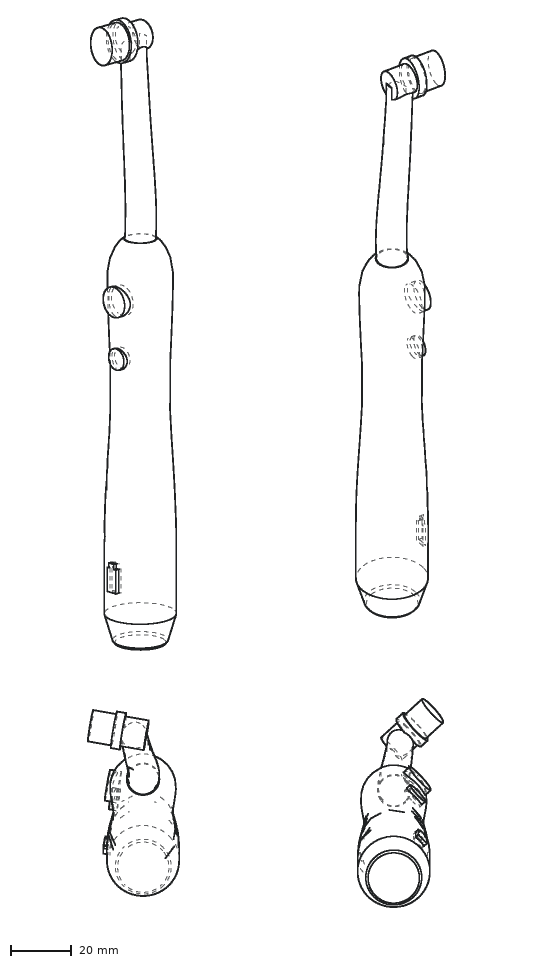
import cadquery as cq


BASE_TOP_Z = 10.0
HANDLE_TOP_Z = 139.9
BODY_RADIUS = 12.0
DOME_TOP_RADIUS = 5.5
HANDLE_WALL = [
    (BODY_RADIUS, 32.6),
    (10.98, 61.0),
    (9.8, 90.3),
    (10.55, 111.0),
    (10.9, 124.0),
    (10.0, 133.1),
    (DOME_TOP_RADIUS, HANDLE_TOP_Z),
]
DOME_TOP_TANGENT = (-1, 0.5)
BASE_FLOOR_RADIUS = 8.5
BASE_LOWER_RADIUS = 9.25
BASE_ROUND_HEIGHT = 0.9

NECK_STATIONS = [
    (HANDLE_TOP_Z, 0.0, 10.33),
    (156.5, 0.0, 10.11),
    (174.0, -1.2, 9.5),
    (189.2, -2.2, 9.1),
    (203.1, -2.94, 8.7),
]

HEAD_Z = 210.3
HEAD_RADIUS = 5.0
HEAD_BACK_Y = 1.0
FLANGE_BACK_Y = -6.7
FLANGE_FRONT_Y = -9.8
BRISTLE_FRONT_Y = -17.6
FLANGE_WIDTH = 12.2
FLANGE_HEIGHT = 14.8
FLANGE_Z = 217.5 - FLANGE_HEIGHT / 2
BRISTLE_RIM = 0.9

LARGE_BUTTON_Z = 120.3
LARGE_BUTTON_RADIUS = 5.2
LARGE_BUTTON_Y = (-8.3, -12.0)
SMALL_BUTTON_Z = 100.3
SMALL_BUTTON_RADIUS = 3.7
SMALL_BUTTON_Y = (-8.3, -10.9)
INDICATOR_Y = (-10.9, -13.0)
INDICATOR_WIDTH = 4.1
INDICATOR_BOTTOM_Z = 20.0
INDICATOR_SHOULDER_Z = 28.3
INDICATOR_TIP_WIDTH = 2.5
INDICATOR_TOP_Z = 30.0


def front_plane(y, z=0.0):
    """Sketch plane facing -Y, with local x along X and local y along Z."""
    return cq.Workplane("XZ", origin=(0, y, z))


def make_base():
    return (
        cq.Workplane("XZ")
        .lineTo(BASE_FLOOR_RADIUS, 0)
        .lineTo(BASE_LOWER_RADIUS, BASE_ROUND_HEIGHT)
        .lineTo(BODY_RADIUS, BASE_TOP_Z)
        .lineTo(0, BASE_TOP_Z)
        .close()
        .revolve(360, (0, 0), (0, 1))
    )


def make_handle(inserts):
    """Waisted, domed grip with a recess for each insert."""
    handle = (
        cq.Workplane("XZ")
        .moveTo(0, BASE_TOP_Z)
        .lineTo(BODY_RADIUS, BASE_TOP_Z)
        .lineTo(*HANDLE_WALL[0])
        .spline(HANDLE_WALL[1:], tangents=[(0, 1), DOME_TOP_TANGENT], includeCurrent=True)
        .lineTo(0, HANDLE_TOP_Z)
        .close()
        .revolve(360, (0, 0), (0, 1))
    )
    for insert in inserts:
        handle = handle.cut(insert)
    return handle.solids()


def make_neck():
    """Tapered, bent stem carrying the head barrel and its oval flange."""
    rings = [
        cq.Wire.makeCircle(diameter / 2, cq.Vector(0, y, z), cq.Vector(0, 0, 1))
        for z, y, diameter in NECK_STATIONS
    ]
    stem = cq.Workplane(cq.Solid.makeLoft(rings))
    top_z, top_y, top_diameter = NECK_STATIONS[-1]
    stem_end = (
        cq.Workplane("XY", origin=(0, top_y, top_z))
        .circle(top_diameter / 2)
        .extrude(HEAD_Z - top_z)
    )
    barrel = (
        front_plane(HEAD_BACK_Y, HEAD_Z)
        .circle(HEAD_RADIUS)
        .extrude(HEAD_BACK_Y - FLANGE_BACK_Y)
    )
    flange = (
        front_plane(FLANGE_BACK_Y, FLANGE_Z)
        .ellipse(FLANGE_WIDTH / 2, FLANGE_HEIGHT / 2)
        .extrude(FLANGE_BACK_Y - FLANGE_FRONT_Y)
    )
    return stem.union(stem_end).union(barrel).union(flange).solids()


def make_bristles():
    return (
        front_plane(FLANGE_FRONT_Y, FLANGE_Z)
        .ellipse(FLANGE_WIDTH / 2 - BRISTLE_RIM, FLANGE_HEIGHT / 2 - BRISTLE_RIM)
        .extrude(FLANGE_FRONT_Y - BRISTLE_FRONT_Y)
    )


def make_button(z, radius, y_range):
    inner_y, outer_y = y_range
    return front_plane(inner_y, z).circle(radius).extrude(inner_y - outer_y)


def make_indicator():
    """Battery-shaped plate: a rectangle with a narrower tip."""
    inner_y, outer_y = INDICATOR_Y
    half_width = INDICATOR_WIDTH / 2
    half_tip = INDICATOR_TIP_WIDTH / 2
    return (
        front_plane(inner_y)
        .polyline([
            (-half_width, INDICATOR_BOTTOM_Z),
            (half_width, INDICATOR_BOTTOM_Z),
            (half_width, INDICATOR_SHOULDER_Z),
            (half_tip, INDICATOR_SHOULDER_Z),
            (half_tip, INDICATOR_TOP_Z),
            (-half_tip, INDICATOR_TOP_Z),
            (-half_tip, INDICATOR_SHOULDER_Z),
            (-half_width, INDICATOR_SHOULDER_Z),
        ])
        .close()
        .extrude(inner_y - outer_y)
    )


large_button = make_button(LARGE_BUTTON_Z, LARGE_BUTTON_RADIUS, LARGE_BUTTON_Y)
small_button = make_button(SMALL_BUTTON_Z, SMALL_BUTTON_RADIUS, SMALL_BUTTON_Y)
indicator = make_indicator()
base = make_base()
handle = make_handle([large_button, small_button, indicator])
neck = make_neck()
bristles = make_bristles()

result = cq.Compound.makeCompound([
    base.val(),
    handle.val(),
    neck.val(),
    bristles.val(),
    large_button.val(),
    small_button.val(),
    indicator.val(),
])